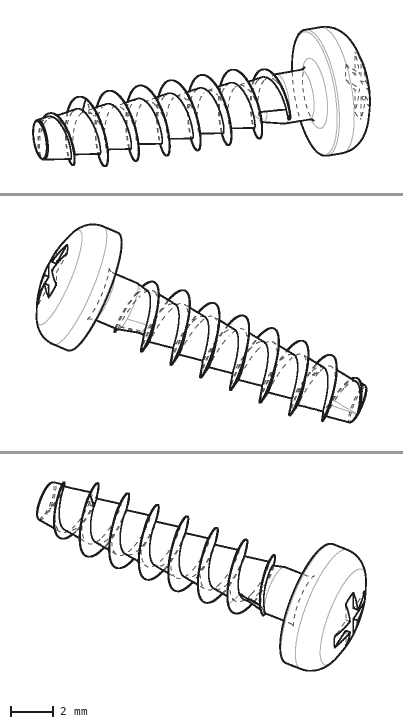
import cadquery as cq
import math


total_length = 16.43
under_head_length = 14.0
head_height = total_length - under_head_length

head_radius = 6.1 / 2
head_rim_round = 0.08
head_rim_height = 0.84
head_corner_radius = 1.15

slot_width = 0.8
slot_depth = 0.23

shank_radius = 2.4 / 2
shank_length = 1.74
neck_fillet = 0.5
shoulder_drop = 1.05

core_min_radius = 0.95
core_max_radius = 1.18
tip_radius = 0.95
tip_edge_break = 0.05
tip_face_radius = tip_radius - tip_edge_break
tip_slope = 0.14

thread_radius = 3.52 / 2
full_turns = 5.25
fade_in_turns = 1.25
fade_out_turns = 1.5
full_thread_top = -3.38
fade_in_rise = 0.35
cut_bottom = -under_head_length - 1.61
pitch = (under_head_length + full_thread_top) / (full_turns + fade_out_turns)
fade_out_drop = (thread_radius - tip_radius) / fade_out_turns
crest_width = 0.03
flank_slope = 0.26
thread_root_radius = 0.82


def make_head():
    """Pan head with a domed top, tangent to the rounded corner above the cylindrical rim."""
    corner_x = head_radius - head_corner_radius
    slot_corner = slot_width / 2 * math.sqrt(2)

    def dome_radius_for(apex):
        drop = apex - head_rim_height
        return (corner_x**2 + drop**2 - head_corner_radius**2) / (2 * (drop - head_corner_radius))

    apex = head_height
    for _ in range(20):
        dome_radius = dome_radius_for(apex)
        apex = head_height + dome_radius - math.sqrt(dome_radius**2 - slot_corner**2)
    dome_center = apex - dome_radius
    lean = math.atan2(corner_x, head_rim_height - dome_center)

    def on_dome(angle):
        return (dome_radius * math.sin(angle), dome_center + dome_radius * math.cos(angle))

    def on_corner(angle):
        return (
            corner_x + head_corner_radius * math.sin(angle),
            head_rim_height + head_corner_radius * math.cos(angle),
        )

    head = (
        cq.Workplane("YZ")
        .moveTo(0, 0)
        .lineTo(head_radius, 0)
        .lineTo(head_radius, head_rim_height)
        .threePointArc(on_corner((lean + math.pi / 2) / 2), on_corner(lean))
        .threePointArc(on_dome(lean / 2), (0, apex))
        .close()
        .revolve(360, (0, 0), (0, 1))
        .faces("<Z")
        .edges()
        .fillet(head_rim_round)
    )
    slot_floor = head_height - slot_depth
    slot = cq.Workplane("XY").box(2 * head_radius, slot_width, head_height, centered=(True, True, False))
    slot = slot.translate((0, 0, slot_floor))
    return head.cut(slot).cut(slot.rotate((0, 0, 0), (0, 0, 1), 90))


def make_shank():
    """Plain shank with a neck fillet under the head and a shoulder cone at its lower end."""
    diagonal = neck_fillet * (1 - math.sqrt(0.5))
    return (
        cq.Workplane("YZ")
        .moveTo(0, 0)
        .lineTo(shank_radius + neck_fillet, 0)
        .threePointArc((shank_radius + diagonal, -diagonal), (shank_radius, -neck_fillet))
        .lineTo(shank_radius, -shank_length)
        .lineTo(core_min_radius, -shank_length - shoulder_drop)
        .lineTo(0, -shank_length - shoulder_drop)
        .close()
        .revolve(360, (0, 0), (0, 1))
    )


def sweep_down(section, start_turn, turns, radius, widening=0.0):
    """Sweep a section of (radius, height) points down a right-hand helix.

    start_turn counts from the top of the full thread, downwards.
    widening is the growth of the helix radius in each turn downwards.
    """
    top_z = full_thread_top - start_turn * pitch
    height = turns * pitch
    end_radius = radius + widening * turns
    if widening:
        slant = math.atan2(radius - end_radius, height)
        stretch = 1 / math.cos(slant)
        path = cq.Wire.makeHelix(pitch * stretch, height * stretch, end_radius, angle=math.degrees(slant))
    else:
        path = cq.Wire.makeHelix(pitch, height, end_radius)
    bottom_angle = -360 * (start_turn + turns)
    shift = end_radius - section[0][0]
    profile = cq.Workplane("XZ").polyline([(r + shift, z) for r, z in section]).close()
    swept = profile.sweep(cq.Workplane(path), isFrenet=True)
    return swept.rotate((0, 0, 0), (0, 0, 1), bottom_angle).translate((0, 0, top_z - height))


def make_core():
    """Core whose helical cones step out at each thread turn, trimmed to the tip cone."""
    band = 0.97 * pitch
    band_end_radius = core_max_radius - (core_max_radius - core_min_radius) * band / pitch
    inside = core_min_radius - 0.16
    section = [
        (core_max_radius, 0),
        (band_end_radius, -band),
        (inside, -band),
        (inside, 0),
    ]
    saw = sweep_down(section, -1, full_turns + fade_out_turns + 1, core_max_radius)
    rod_top = -shank_length
    rod = cq.Workplane("XY").workplane(offset=rod_top).circle(core_min_radius).extrude(cut_bottom - rod_top)
    cone_top = -under_head_length + (shank_radius - tip_radius) / tip_slope
    cone_bottom_radius = tip_radius - tip_slope * (-under_head_length - cut_bottom)
    envelope = (
        cq.Workplane("YZ")
        .moveTo(0, cut_bottom)
        .lineTo(cone_bottom_radius, cut_bottom)
        .lineTo(shank_radius, cone_top)
        .lineTo(shank_radius, rod_top)
        .lineTo(0, rod_top)
        .close()
        .revolve(360, (0, 0), (0, 1))
    )
    return rod.union(saw).intersect(envelope)


def make_thread():
    """Thread ridge that rises out of the shoulder, runs at full height and sinks in at the tip."""
    half_crest = crest_width / 2
    half_root = half_crest + flank_slope * (thread_radius - thread_root_radius)
    section = [
        (thread_radius, half_crest),
        (thread_radius, -half_crest),
        (thread_root_radius, -half_root),
        (thread_root_radius, half_root),
    ]
    fade_in = sweep_down(
        section, -fade_in_turns, fade_in_turns, thread_radius - fade_in_rise * fade_in_turns, fade_in_rise
    )
    full = sweep_down(section, 0, full_turns, thread_radius)
    fade_out = sweep_down(section, full_turns, fade_out_turns, thread_radius, -fade_out_drop)
    return full.union(fade_in, clean=False).union(fade_out, clean=False)


threaded = make_core().union(make_thread(), clean=False)
thread_zone = (
    cq.Workplane("YZ")
    .moveTo(0, -under_head_length)
    .lineTo(tip_face_radius, -under_head_length)
    .lineTo(head_radius, -under_head_length + head_radius - tip_face_radius)
    .lineTo(head_radius, -shank_length)
    .lineTo(0, -shank_length)
    .close()
    .revolve(360, (0, 0), (0, 1))
)
threaded = threaded.intersect(thread_zone, clean=False)
screw = make_head().union(make_shank()).union(threaded, clean=False)

result = screw.rotate((0, 0, 0), (1, 0, 0), -90)